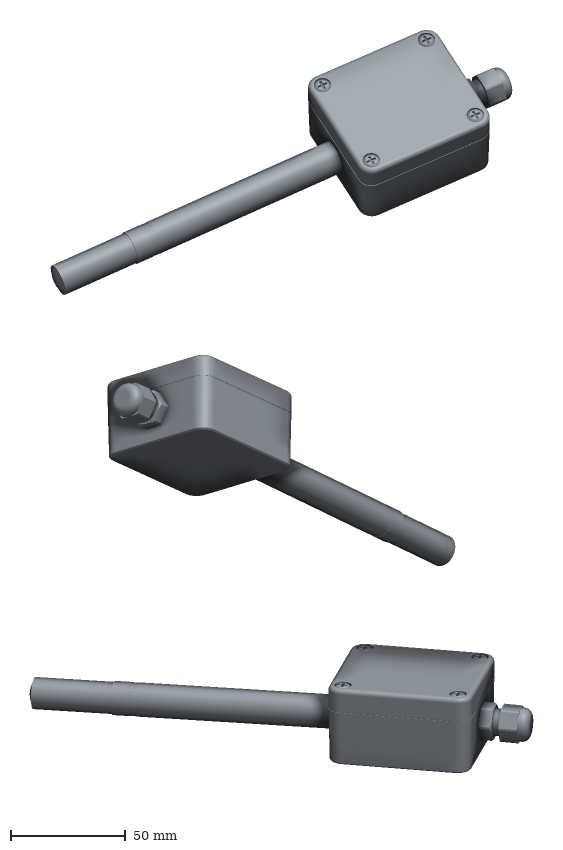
import cadquery as cq
import math

BOX_WIDTH = 58.0
BOX_LENGTH = 64.0
BOX_HEIGHT = 35.0
BASE_HEIGHT = 25.0
BASE_DRAFT = 1.0
CORNER_RADIUS = 6.3
LID_EDGE_RADIUS = 2.0
BASE_EDGE_CHAMFER = 0.7
SEAM_HEIGHT = 0.7
SEAM_DEPTH = 0.2

SCREW_DIAMETER = 7.5
SCREW_FLAT_DIAMETER = 5.0
SCREW_HEIGHT = 3.4
SCREW_EDGE_DROP = 1.0
CROSS_LENGTH = 4.5
CROSS_WIDTH = 1.1
CROSS_DEPTH = 1.1

GLAND_AXIS_HEIGHT = 14.3
PROBE_AXIS_HEIGHT = 13.2

HEX_ACROSS_FLATS = 15.0
HEX_CORNER_DIAMETER = 16.8
HEX_TURN = 30
FLANGE_LENGTH = 5.5
FLANGE_CHAMFER = 0.7
NECK_DIAMETER = 12.0
NECK_LENGTH = 3.1
NUT_HEX_LENGTH = 8.3
NUT_TIP_LENGTH = 4.7
NUT_TIP_RADIUS = 3.5

TUBE_DIAMETER = 15.0
TUBE_LENGTH = 89.9
COLLAR_LENGTH = 11.2
COLLAR_GROOVE_DIAMETER = 14.8
COLLAR_GROOVE_WIDTH = 3.4
FILTER_DIAMETER = 14.0
FILTER_LENGTH = 35.5
DOME_DIAMETER = 12.0
DOME_HEIGHT = 1.8
TIP_HOLE_DIAMETER = 3.4
TIP_HOLE_DEPTH = 0.5


def wall_plane(side, height):
    """Plane on an end wall (side is +1 or -1 along Y), its normal pointing out of the drafted wall."""
    draft = math.radians(BASE_DRAFT)
    inset = (BASE_HEIGHT - height) * math.tan(draft)
    return cq.Plane(
        origin=(0, side * (BOX_LENGTH / 2 - inset), height),
        xDir=(1, 0, 0),
        normal=(0, side * math.cos(draft), -math.sin(draft)),
    )


def make_base():
    base = (
        cq.Workplane("XY", origin=(0, 0, BASE_HEIGHT))
        .rect(BOX_WIDTH, BOX_LENGTH)
        .extrude(-BASE_HEIGHT, taper=BASE_DRAFT)
        .edges("not(#Z)")
        .fillet(CORNER_RADIUS)
    )
    base = base.faces("<Z").chamfer(BASE_EDGE_CHAMFER)
    rim = (
        cq.Workplane("XY", origin=(0, 0, BASE_HEIGHT))
        .rect(BOX_WIDTH - 2 * SEAM_DEPTH, BOX_LENGTH - 2 * SEAM_DEPTH)
        .extrude(-SEAM_HEIGHT)
        .edges("|Z")
        .fillet(CORNER_RADIUS - SEAM_DEPTH)
    )
    below_seam = cq.Workplane("XY").rect(BOX_WIDTH, BOX_LENGTH).extrude(BASE_HEIGHT - SEAM_HEIGHT)
    return base.intersect(below_seam).union(rim)


def make_lid():
    lid = (
        cq.Workplane("XY", origin=(0, 0, BASE_HEIGHT))
        .rect(BOX_WIDTH, BOX_LENGTH)
        .extrude(BOX_HEIGHT - BASE_HEIGHT)
        .edges("|Z")
        .fillet(CORNER_RADIUS)
        .faces(">Z")
        .edges()
        .fillet(LID_EDGE_RADIUS)
    )
    recesses = (
        cq.Workplane("XY", origin=(0, 0, BOX_HEIGHT))
        .pushPoints(screw_places())
        .circle(SCREW_DIAMETER / 2)
        .extrude(-SCREW_HEIGHT)
    )
    return lid.cut(recesses)


def screw_places():
    x = BOX_WIDTH / 2 - CORNER_RADIUS
    y = BOX_LENGTH / 2 - CORNER_RADIUS
    return [(-x, -y), (x, -y), (x, y), (-x, y)]


def make_screw(place):
    head = (
        cq.Workplane("XY", origin=(*place, BOX_HEIGHT - SCREW_HEIGHT))
        .circle(SCREW_DIAMETER / 2)
        .extrude(SCREW_HEIGHT)
        .faces(">Z")
        .chamfer(SCREW_EDGE_DROP, (SCREW_DIAMETER - SCREW_FLAT_DIAMETER) / 2)
    )
    top = cq.Workplane("XY", origin=(*place, BOX_HEIGHT))
    for length, width in ((CROSS_LENGTH, CROSS_WIDTH), (CROSS_WIDTH, CROSS_LENGTH)):
        head = head.cut(top.rect(length, width).extrude(-CROSS_DEPTH))
    return head


def turned_hexagon(plane, length):
    hexagon = (
        cq.Workplane(plane)
        .transformed(rotate=(0, 0, HEX_TURN))
        .polygon(6, HEX_ACROSS_FLATS, circumscribed=True)
        .extrude(length)
    )
    return hexagon.intersect(cq.Workplane(plane).circle(HEX_CORNER_DIAMETER / 2).extrude(length))


def make_gland_body():
    plane = wall_plane(1, GLAND_AXIS_HEIGHT)
    chamfered_disc = (
        cq.Workplane(plane)
        .circle(HEX_CORNER_DIAMETER / 2)
        .extrude(FLANGE_LENGTH)
        .faces(">Y")
        .chamfer(FLANGE_CHAMFER, (HEX_CORNER_DIAMETER - HEX_ACROSS_FLATS) / 2)
    )
    flange = turned_hexagon(plane, FLANGE_LENGTH).intersect(chamfered_disc)
    neck = cq.Workplane(plane).circle(NECK_DIAMETER / 2).extrude(FLANGE_LENGTH + NECK_LENGTH)
    return flange.union(neck)


def make_gland_nut():
    plane = wall_plane(1, GLAND_AXIS_HEIGHT)
    plane.origin += plane.zDir * (FLANGE_LENGTH + NECK_LENGTH)
    tip = (
        cq.Workplane(plane)
        .circle(HEX_ACROSS_FLATS / 2)
        .extrude(NUT_HEX_LENGTH + NUT_TIP_LENGTH)
        .faces(">Y")
        .edges()
        .fillet(NUT_TIP_RADIUS)
    )
    return turned_hexagon(plane, NUT_HEX_LENGTH).union(tip)


def make_tube():
    plane = wall_plane(-1, PROBE_AXIS_HEIGHT)
    return cq.Workplane(plane).circle(TUBE_DIAMETER / 2).extrude(TUBE_LENGTH)


def make_filter():
    plane = wall_plane(-1, PROBE_AXIS_HEIGHT)
    plane.origin += plane.zDir * TUBE_LENGTH
    collar_radius = TUBE_DIAMETER / 2
    filter_radius = FILTER_DIAMETER / 2
    dome_radius = DOME_DIAMETER / 2
    shoulder = COLLAR_LENGTH + FILTER_LENGTH
    sphere = (dome_radius**2 + DOME_HEIGHT**2) / (2 * DOME_HEIGHT)
    middle_radius = dome_radius / 2
    middle = shoulder + DOME_HEIGHT - sphere + math.sqrt(sphere**2 - middle_radius**2)
    profile = cq.Plane(origin=plane.origin, xDir=plane.xDir, normal=-plane.yDir)
    body = (
        cq.Workplane(profile)
        .moveTo(0, 0)
        .lineTo(COLLAR_GROOVE_DIAMETER / 2, 0)
        .lineTo(COLLAR_GROOVE_DIAMETER / 2, COLLAR_GROOVE_WIDTH)
        .lineTo(collar_radius, COLLAR_GROOVE_WIDTH)
        .lineTo(collar_radius, COLLAR_LENGTH)
        .lineTo(filter_radius, COLLAR_LENGTH)
        .lineTo(filter_radius, shoulder)
        .lineTo(dome_radius, shoulder)
        .threePointArc((middle_radius, middle), (0, shoulder + DOME_HEIGHT))
        .close()
        .revolve(360, (0, 0), (0, 1))
    )
    plane.origin += plane.zDir * (shoulder + DOME_HEIGHT)
    hole = cq.Workplane(plane).circle(TIP_HOLE_DIAMETER / 2).extrude(-TIP_HOLE_DEPTH)
    return body.cut(hole)


base = make_base()
lid = make_lid()
screws = [make_screw(place) for place in screw_places()]
gland_body = make_gland_body()
gland_nut = make_gland_nut()
tube = make_tube()
sensor_filter = make_filter()

result = cq.Compound.makeCompound(
    [
        base.val(),
        lid.val(),
        *[screw.val() for screw in screws],
        gland_body.val(),
        gland_nut.val(),
        tube.val(),
        sensor_filter.val(),
    ]
)